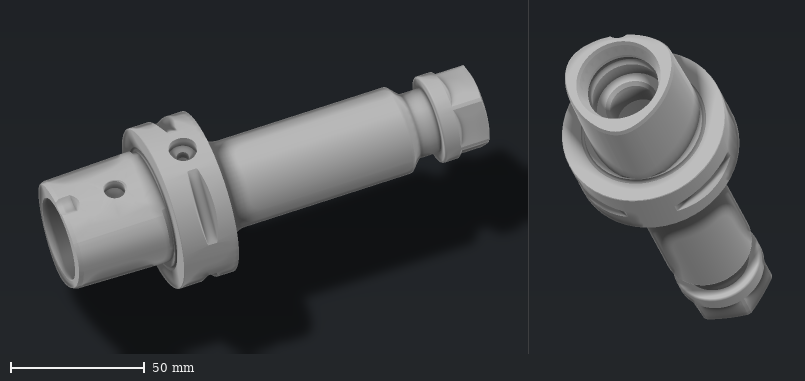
import cadquery as cq
import math


total_length = 168.0
shank_length = 38.0
nose_y = total_length - shank_length
flange_length = 22.0
nut_length = 19.0
nut_base_y = nose_y - nut_length

flange_radius = 63.0 / 2
flange_chamfer = 0.25
body_radius = 17.0
body_fillet = 9.7
neck_radius = 12.6
shoulder_y = 98.6
shoulder_edge_round = 1.3
neck_fillet = 0.8
shoulder_height = body_radius - neck_radius

ring_groove_outer_radius = 24.2
ring_groove_inner_radius = 22.7
land_height = 0.3

shank_radius = 22.0
shank_taper = 1 / 40
lobe_height = 1.4
lobe_half_angle = 27.0
points_per_span = 9
first_lobe_angle = -90.0
undercut_length = 2.0
undercut_radius = 22.2
shank_chamfer_length = 1.6
shank_chamfer_inset = 0.7

bore_mouth_radius = 16.3
bore_lead_radius = 15.5
bore_lead_depth = 1.5
bore_rib_radius = 13.8
bore_rib_depth = 6.4
bore_rib_length = 1.7
bore_groove_radius = 15.3
bore_groove_end = 12.6
bore_radius = 13.6
bore_step_depth = 13.8
bore_depth = 21.0
core_hole_radius = 10.2
core_drill_radius = 8.9
core_drill_depth = 33.6

drill_point_angle = 118.0
index_hole_mouth_radius = 4.5
index_hole_radius = 4.0
index_hole_y = -15.5
index_hole_floor_z = 15.5
chip_pocket_radius = 5.4
chip_pocket_depth = 5.2
chip_pilot_radius = 2.4
chip_pilot_depth = 3.4
notch_radius = 5.5
notch_floor_z = 17.8
notch_length = 6.0

groove_y = 12.01
groove_floor_distance = 27.9
groove_floor_width = 3.9
groove_wall_angle = 26.0
groove_floor_fillet = 0.7
groove_count = 4

nut_radius = 17.0
nut_flats = 30.0
nut_collar_length = 6.2
nut_collar_round = 0.8
nut_tip_radius = 14.0
nut_tip_chamfer = 1.3


def turned(outline):
    """Revolve an (r, y) outline about the Y axis."""
    return outline.close().revolve(360, (0, 0, 0), (0, 1, 0))


def edges_near(y):
    """Selector for the edges centred within a thin slice at this y."""
    half_slice = 0.2
    return cq.selectors.BoxSelector(
        (-flange_radius, y - half_slice, -flange_radius),
        (flange_radius, y + half_slice, flange_radius),
    )


def drill_tip_length(radius):
    return radius / math.tan(math.radians(drill_point_angle / 2))


def radial_drill(radius, y, floor_z, top_z):
    """Blind hole along Z, with a drill point below floor_z."""
    outline = (
        cq.Workplane("XZ")
        .moveTo(0, floor_z - drill_tip_length(radius))
        .lineTo(radius, floor_z)
        .lineTo(radius, top_z)
        .lineTo(0, top_z)
        .close()
    )
    return outline.revolve(360, (0, 0, 0), (0, 1, 0)).translate((0, y, 0))


def lobed_wire(mean_radius, y):
    """Closed three-lobed outline of constant width, in the plane at this y."""

    def point(angle):
        reach = mean_radius + lobe_height * math.cos(3 * angle)
        slide = -3 * lobe_height * math.sin(3 * angle)
        normal = angle + math.radians(first_lobe_angle)
        x = reach * math.cos(normal) - slide * math.sin(normal)
        z = reach * math.sin(normal) + slide * math.cos(normal)
        return cq.Vector(x, y, z)

    def tangent(angle):
        normal = angle + math.radians(first_lobe_angle)
        return cq.Vector(-math.sin(normal), 0, math.cos(normal))

    edges = []
    for lobe in range(3):
        tip = 120 * lobe
        lobe_span = (tip - lobe_half_angle, tip + lobe_half_angle)
        flank_span = (tip + lobe_half_angle, tip + 120 - lobe_half_angle)
        for start, end in (lobe_span, flank_span):
            step = (end - start) / (points_per_span - 1)
            angles = [math.radians(start + i * step) for i in range(points_per_span)]
            ends = [tangent(angles[0]), tangent(angles[-1])]
            edges.append(cq.Edge.makeSpline([point(a) for a in angles], tangents=ends))
    return cq.Wire.assembleEdges(edges)


def lobed_solid(start_y, start_radius, end_y, end_radius):
    wires = [lobed_wire(start_radius, start_y), lobed_wire(end_radius, end_y)]
    return cq.Workplane(cq.Solid.makeLoft(wires, True))


def shank_mean_radius(y):
    """Mean radius of the tapered shank; y is negative along the shank."""
    return shank_radius + shank_taper * y


def make_shank():
    taper_start = -undercut_length
    taper_end = -shank_length + shank_chamfer_length
    end_radius = shank_mean_radius(-shank_length) - shank_chamfer_inset
    taper = lobed_solid(taper_start, shank_mean_radius(taper_start), taper_end, shank_mean_radius(taper_end))
    chamfer = lobed_solid(taper_end, shank_mean_radius(taper_end), -shank_length, end_radius)
    root = lobed_solid(0, shank_radius, taper_start, shank_mean_radius(taper_start))
    relief = cq.Workplane("XZ").circle(undercut_radius).extrude(undercut_length)
    return taper.union(chamfer).union(root.intersect(relief))


def make_turned_body():
    fillet_mid = body_fillet * (1 - math.sqrt(0.5))
    body = turned(
        cq.Workplane("XY")
        .lineTo(flange_radius - flange_chamfer, 0)
        .lineTo(flange_radius, flange_chamfer)
        .lineTo(flange_radius, flange_length)
        .lineTo(body_radius + body_fillet, flange_length)
        .threePointArc(
            (body_radius + fillet_mid, flange_length + fillet_mid),
            (body_radius, flange_length + body_fillet),
        )
        .lineTo(body_radius, shoulder_y)
        .lineTo(neck_radius, shoulder_y + shoulder_height)
        .lineTo(neck_radius, nut_base_y)
        .lineTo(0, nut_base_y)
    )
    body = body.edges(edges_near(shoulder_y)).fillet(shoulder_edge_round)
    return body.edges(edges_near(shoulder_y + shoulder_height)).fillet(neck_fillet)


def make_ring_groove():
    """Half-round groove sunk into the flange face around the shank."""
    groove_radius = (ring_groove_outer_radius - ring_groove_inner_radius) / 2
    return turned(
        cq.Workplane("XY")
        .moveTo(ring_groove_inner_radius, 0)
        .threePointArc(
            (ring_groove_inner_radius + groove_radius, groove_radius),
            (ring_groove_outer_radius, 0),
        )
    )


def make_land():
    return cq.Workplane("XZ").circle(ring_groove_inner_radius).extrude(land_height)


def make_bore():
    core_chamfer = core_hole_radius - core_drill_radius
    stations = [
        (0, 0),
        (bore_mouth_radius, 0),
        (bore_lead_radius, bore_lead_depth),
        (bore_rib_radius, bore_rib_depth),
        (bore_rib_radius, bore_rib_depth + bore_rib_length),
        (bore_groove_radius, bore_rib_depth + bore_rib_length),
        (bore_groove_radius, bore_groove_end),
        (bore_radius, bore_step_depth),
        (bore_radius, bore_depth),
        (core_hole_radius, bore_depth),
        (core_drill_radius, bore_depth + core_chamfer),
        (core_drill_radius, core_drill_depth),
        (0, core_drill_depth + drill_tip_length(core_drill_radius)),
    ]
    outline = cq.Workplane("XY").polyline([(r, depth - shank_length) for r, depth in stations])
    return turned(outline)


def make_end_notch():
    """Round-bottomed channel along Y that ends in a 45 degree cone."""
    channel = turned(
        cq.Workplane("XY")
        .lineTo(notch_radius, 0)
        .lineTo(notch_radius, notch_length)
        .lineTo(0, notch_length + notch_radius)
    )
    return channel.translate((0, -shank_length, notch_floor_z + notch_radius))


def make_gripper_groove(angle):
    """Straight trapezoid groove across the flange rim, cut facing +X and then swung about Y."""
    depth = flange_radius - groove_floor_distance
    floor_half = groove_floor_width / 2
    mouth_half = floor_half + depth * math.tan(math.radians(groove_wall_angle))
    groove = (
        cq.Workplane("XY")
        .moveTo(groove_floor_distance, groove_y - floor_half)
        .lineTo(flange_radius, groove_y - mouth_half)
        .lineTo(flange_radius, groove_y + mouth_half)
        .lineTo(groove_floor_distance, groove_y + floor_half)
        .close()
        .extrude(flange_radius, both=True)
    )
    groove = groove.edges("|Z and <X").fillet(groove_floor_fillet)
    return groove.rotate((0, 0, 0), (0, 1, 0), angle)


def make_index_countersink():
    """45 degree cone that opens the index hole to its mouth radius at the shank surface."""
    surface_z = shank_mean_radius(index_hole_y) - lobe_height
    cone_tip_z = surface_z - index_hole_mouth_radius
    reach = shank_radius - cone_tip_z
    cone = cq.Solid.makeCone(0, reach, reach, cq.Vector(0, index_hole_y, cone_tip_z), cq.Vector(0, 0, 1))
    return cq.Workplane(cone)


def make_holder():
    holder = make_turned_body().cut(make_ring_groove()).union(make_land()).union(make_shank())
    holder = holder.cut(make_bore()).cut(make_end_notch())
    for i in range(groove_count):
        holder = holder.cut(make_gripper_groove((i + 0.5) * 360 / groove_count))

    pocket_floor_z = flange_radius - chip_pocket_depth
    pocket = (
        cq.Workplane("XY", origin=(0, groove_y, pocket_floor_z))
        .circle(chip_pocket_radius)
        .extrude(chip_pocket_depth)
    )
    pilot = radial_drill(chip_pilot_radius, groove_y, pocket_floor_z - chip_pilot_depth, pocket_floor_z)
    index_hole = radial_drill(index_hole_radius, index_hole_y, index_hole_floor_z, shank_radius)
    return holder.cut(pocket).cut(pilot).cut(index_hole).cut(make_index_countersink())


def make_nut():
    collar_top = nut_base_y + nut_collar_length
    cone_rise = nut_radius - nut_flats / 2
    blank = turned(
        cq.Workplane("XY")
        .moveTo(0, collar_top)
        .lineTo(nut_radius, collar_top)
        .lineTo(nut_radius, nose_y - nut_tip_chamfer)
        .lineTo(nut_tip_radius, nose_y)
        .lineTo(0, nose_y)
    )
    hexagon = (
        cq.Workplane("XZ", origin=(0, nose_y, 0))
        .polygon(6, nut_flats, circumscribed=True)
        .extrude(nut_length)
        .rotate((0, 0, 0), (0, 1, 0), 30)
    )
    collar = cq.Workplane("XZ", origin=(0, collar_top, 0)).circle(nut_radius).extrude(nut_collar_length)
    collar = collar.faces("<Y").edges().fillet(nut_collar_round)
    collar_cone = turned(
        cq.Workplane("XY")
        .moveTo(0, collar_top)
        .lineTo(nut_radius, collar_top)
        .lineTo(nut_flats / 2, collar_top + cone_rise)
        .lineTo(0, collar_top + cone_rise)
    )
    return blank.intersect(hexagon).union(collar).union(collar_cone)


holder = make_holder()
nut = make_nut()

result = cq.Compound.makeCompound([holder.val(), nut.val()])